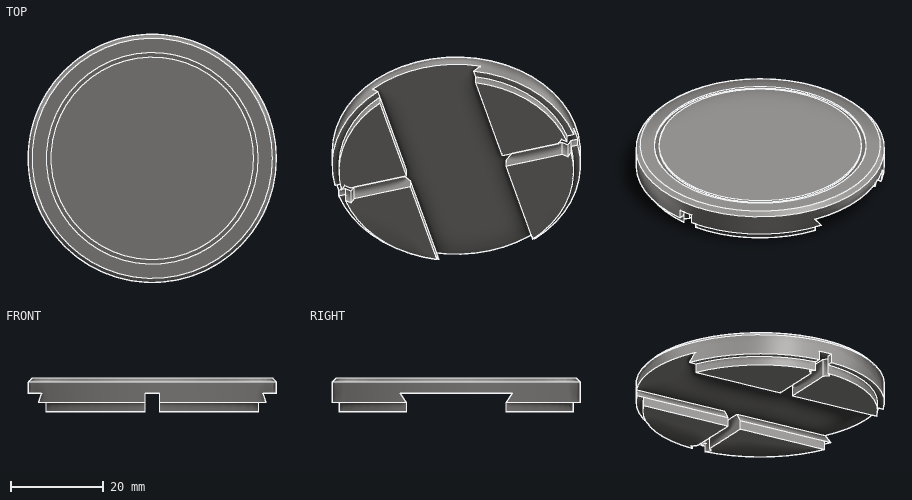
import cadquery as cq
import math

disc_diameter = 54.0
total_height = 7.4
edge_chamfer = 0.9

groove_outer_diameter = 46.0
groove_inner_diameter = 44.0
groove_depth = 0.4

step_height = 2.0
plug_diameter = 51.0
slot_height = 4.0

narrow_slot_width = 3.1
wide_slot_width = 21.6
wide_slot_root_width = 24.3

relief_depth = 1.0


def make_body():
    disc = (
        cq.Workplane("XY", origin=(0, 0, step_height))
        .circle(disc_diameter / 2)
        .extrude(total_height - step_height)
        .faces(">Z")
        .chamfer(edge_chamfer)
    )
    plug = cq.Workplane("XY").circle(plug_diameter / 2).extrude(step_height)
    return disc.union(plug)


def make_groove():
    return (
        cq.Workplane("XY", origin=(0, 0, total_height - groove_depth))
        .circle(groove_outer_diameter / 2)
        .circle(groove_inner_diameter / 2)
        .extrude(groove_depth)
    )


def make_narrow_slot():
    """Straight channel along Y."""
    return cq.Workplane("XY").box(
        narrow_slot_width, disc_diameter, slot_height, centered=(True, True, False)
    )


def make_relief(end):
    """Square post set on its diagonal, which cuts a V into both walls at one slot end (+1 or -1)."""
    half_slot = narrow_slot_width / 2
    rim_y = math.sqrt((plug_diameter / 2) ** 2 - half_slot**2)
    center_y = end * (rim_y - relief_depth)
    side = math.sqrt(2) * (half_slot + relief_depth)
    return (
        cq.Workplane("XY")
        .rect(side, side)
        .extrude(slot_height)
        .rotate((0, 0, 0), (0, 0, 1), 45)
        .translate((0, center_y, 0))
    )


def make_wide_slot():
    """Channel along X: straight up to the step, then flaring towards its root."""
    half_mouth = wide_slot_width / 2
    half_root = wide_slot_root_width / 2
    return (
        cq.Workplane("YZ")
        .moveTo(-half_mouth, 0)
        .lineTo(half_mouth, 0)
        .lineTo(half_mouth, step_height)
        .lineTo(half_root, slot_height)
        .lineTo(-half_root, slot_height)
        .lineTo(-half_mouth, step_height)
        .close()
        .extrude(disc_diameter / 2, both=True)
    )


result = make_body().cut(make_groove()).cut(make_narrow_slot()).cut(make_wide_slot())
for end in (-1, 1):
    result = result.cut(make_relief(end))